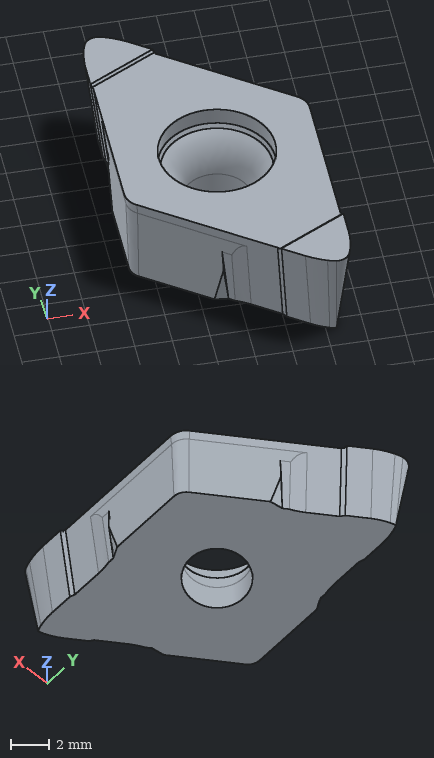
import cadquery as cq
import math

inradius = 5.38
acute_angle = 55.0
corner_radius = 1.13
body_height = 5.4
flank_draft = 7.0

bulge_height = 4.75
bulge_draft = 2.0
ramp_start = 3.99
ramp_end = 3.12
relief_top = 2.59
relief_bottom = 2.75
relief_bottom_rim = 2.1
flare_top = 2.4
strip_top = 3.75

tip_height = 5.53
tip_overhang = 0.11
tip_straight_end = 7.4
wiper_end = (-5.35, 8.6)
nose_start = (-5.2, 9.03)
nose_reach = 10.56
tip_step_reach = 7.9
body_reach = 8.31
tip_wall_outer = 6.06
tip_wall_inner = 5.75

bore_diameter = 3.7
recess_diameter = 6.18
recess_depth = 0.98
seat_diameter = 5.9
seat_depth = 1.23
trumpet_radius = 2.83

overlap = 0.38
clearance = 0.95

half_angle = math.radians(acute_angle / 2)
draft_slope = math.tan(math.radians(flank_draft))
bulge_slope = math.tan(math.radians(bulge_draft))
long_axis = (-math.sin(half_angle), math.cos(half_angle))
cross_axis = (math.cos(half_angle), math.sin(half_angle))


def from_axes(along, across):
    """Convert long-diagonal coordinates to X and Y."""
    return (along * long_axis[0] + across * cross_axis[0],
            along * long_axis[1] + across * cross_axis[1])


def mirrored(point):
    """Reflect an X, Y point across the long diagonal."""
    along = point[0] * long_axis[0] + point[1] * long_axis[1]
    across = point[0] * cross_axis[0] + point[1] * cross_axis[1]
    return from_axes(along, -across)


def drafted_rhombus(height, draft, half_width, radius):
    """Rhombus of the given size at the given height, narrowing downwards."""
    acute = half_width / math.sin(half_angle)
    obtuse = half_width / math.cos(half_angle)
    corners = [from_axes(acute, 0), from_axes(0, obtuse), from_axes(-acute, 0), from_axes(0, -obtuse)]
    plate = cq.Workplane("XY").polyline(corners).close().extrude(-height)
    obtuse_edges = cq.selectors.BoxSelector((-acute, -obtuse, -height), (acute, obtuse, 0))
    outline = plate.edges("|Z").edges(obtuse_edges).fillet(radius).faces(">Z").wires()
    drafted = outline.toPending().extrude(-height, taper=draft, combine=False)
    return drafted.translate((0, 0, height))


def slanted_prism(profile, y_shift, height):
    """Prism from the bottom face that follows the draft of the -X flank."""
    lean = cq.Vector(-height * draft_slope, y_shift, height)
    return cq.Workplane(cq.Solid.extrudeLinear(profile.wire().val(), [], lean))


def both_sides(solid):
    """Pair a feature of the -X flank with its mirror image across the long diagonal."""
    mirror_normal = (cross_axis[0], cross_axis[1], 0)
    return [solid, cq.Workplane(solid.val().mirror(mirror_normal))]


def both_ends(solid):
    """Pair a feature with its copy at the opposite end of the part."""
    return [solid, solid.rotate((0, 0, 0), (0, 0, 1), 180)]


def make_body():
    body = drafted_rhombus(body_height, flank_draft, inradius, corner_radius)

    land_inset = (body_height - bulge_height) * draft_slope
    bulge = drafted_rhombus(bulge_height, bulge_draft, inradius - land_inset, corner_radius - land_inset)

    flank_foot = -inradius + body_height * draft_slope
    strip_rise = (bulge_height - strip_top) * (draft_slope - bulge_slope)
    strip_foot = flank_foot - strip_rise
    bulge_foot = -inradius + land_inset + bulge_height * bulge_slope

    wall_flare = (relief_bottom_rim - relief_bottom) / (bulge_foot - strip_foot)
    inside = flank_foot + overlap
    outside = bulge_foot - clearance
    past_tip = inradius / math.tan(half_angle / 2)

    def relief(flare, y_shift):
        profile = (
            cq.Workplane("XY")
            .moveTo(inside, relief_bottom + flare * (inside - strip_foot))
            .lineTo(outside, relief_bottom + flare * (outside - strip_foot))
            .lineTo(outside, past_tip)
            .lineTo(inside, past_tip)
            .close()
        )
        return slanted_prism(profile, y_shift, bulge_height)

    upright_lean = (relief_top - relief_bottom) / strip_top
    step_at_flare = (bulge_foot - strip_foot) * (1 - flare_top / strip_top)
    flare_lean = upright_lean - wall_flare * step_at_flare / flare_top
    reliefs = [relief(0, upright_lean * bulge_height), relief(wall_flare, flare_lean * bulge_height)]

    pad_profile = (
        cq.Workplane("XY")
        .moveTo(flank_foot, ramp_start + overlap)
        .lineTo(flank_foot, ramp_start)
        .tangentArcPoint((strip_foot, ramp_end), relative=False)
        .lineTo(strip_foot, relief_bottom_rim)
        .lineTo(inside, relief_bottom_rim)
        .lineTo(inside, ramp_start + overlap)
        .close()
    )
    pad = slanted_prism(pad_profile, 0, bulge_height).intersect(bulge)

    for cutter in reliefs:
        for side in both_sides(cutter):
            for end in both_ends(side):
                bulge = bulge.cut(end)
    body = body.union(bulge)
    for side in both_sides(pad):
        for end in both_ends(side):
            body = body.union(end)

    middle = (
        cq.Workplane("XY")
        .box(4 * inradius, 2 * body_reach, body_height, centered=(True, True, False))
        .rotate((0, 0, 0), (0, 0, 1), acute_angle / 2)
    )
    return body.intersect(middle)


def make_tip():
    tip_side = -inradius - tip_overhang
    root = (tip_side, 0)
    straight_end = (tip_side, tip_straight_end)
    drafted = (
        cq.Workplane("XY", origin=(0, 0, tip_height))
        .moveTo(*root)
        .lineTo(*straight_end)
        .tangentArcPoint(wiper_end, relative=False)
        .tangentArcPoint(nose_start, relative=False)
        .threePointArc(from_axes(nose_reach, 0), mirrored(nose_start))
        .tangentArcPoint(mirrored(wiper_end), relative=False)
        .tangentArcPoint(mirrored(straight_end), relative=False)
        .lineTo(*mirrored(root))
        .close()
        .extrude(-tip_height, taper=flank_draft)
    )

    def limit(z):
        inset = (tip_height - z) * draft_slope
        run = (tip_wall_outer - tip_wall_inner) / tip_overhang
        inner = (-inradius + inset + overlap, tip_wall_inner - run * overlap)
        outer = (tip_side + inset - overlap, tip_wall_outer + run * overlap)
        beyond = from_axes(nose_reach * 2, 0)
        return [inner, outer, beyond, mirrored(outer), mirrored(inner)]

    bounds = (
        cq.Workplane("XY").polyline(limit(0)).close()
        .workplane(offset=tip_height).polyline(limit(tip_height)).close()
        .loft(ruled=True)
    )

    step = tip_height - body_height
    reach = nose_reach * 2
    step_plane = cq.Plane(origin=(0, 0, 0), xDir=(*long_axis, 0), normal=(*cross_axis, 0))
    above_step = (
        cq.Workplane(step_plane)
        .polyline([(0, 0), (reach, 0), (reach, tip_height), (tip_step_reach, tip_height),
                   (tip_step_reach - step, body_height), (0, body_height)])
        .close()
        .extrude(reach, both=True)
    )
    return drafted.intersect(bounds).intersect(above_step)


def make_hole():
    bore = bore_diameter / 2
    seat = seat_diameter / 2
    seat_level = body_height - seat_depth
    sweep = math.acos(1 - (seat - bore) / trumpet_radius)
    throat_level = seat_level - trumpet_radius * math.sin(sweep)
    middle = (bore + trumpet_radius * (1 - math.cos(sweep / 2)),
              throat_level + trumpet_radius * math.sin(sweep / 2))
    return (
        cq.Workplane("XZ")
        .lineTo(bore, 0)
        .lineTo(bore, throat_level)
        .threePointArc(middle, (seat, seat_level))
        .lineTo(recess_diameter / 2, body_height - recess_depth)
        .lineTo(recess_diameter / 2, body_height)
        .lineTo(0, body_height)
        .close()
        .revolve(360, (0, 0, 0), (0, 1, 0))
    )


result = make_body()
for tip in both_ends(make_tip()):
    result = result.union(tip)
result = result.cut(make_hole())